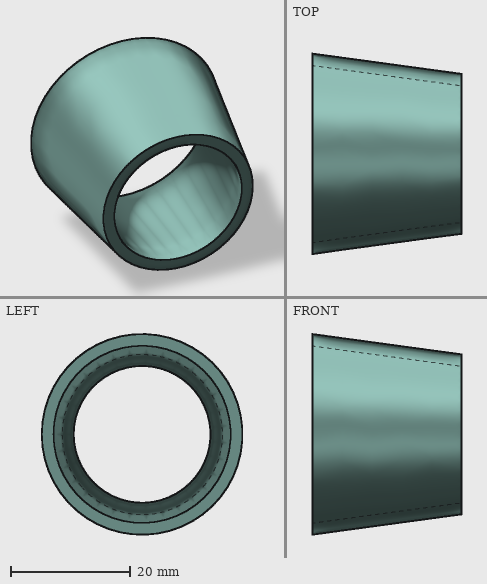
import cadquery as cq

length = 25.0
wide_diameter = 33.7
narrow_diameter = 26.9
wall = 2.0

wide_radius = wide_diameter / 2
narrow_radius = narrow_diameter / 2

wall_section = (
    cq.Workplane("XY")
    .moveTo(0, wide_radius - wall)
    .lineTo(0, wide_radius)
    .lineTo(length, narrow_radius)
    .lineTo(length, narrow_radius - wall)
    .close()
)

result = wall_section.revolve(360, (0, 0, 0), (1, 0, 0))